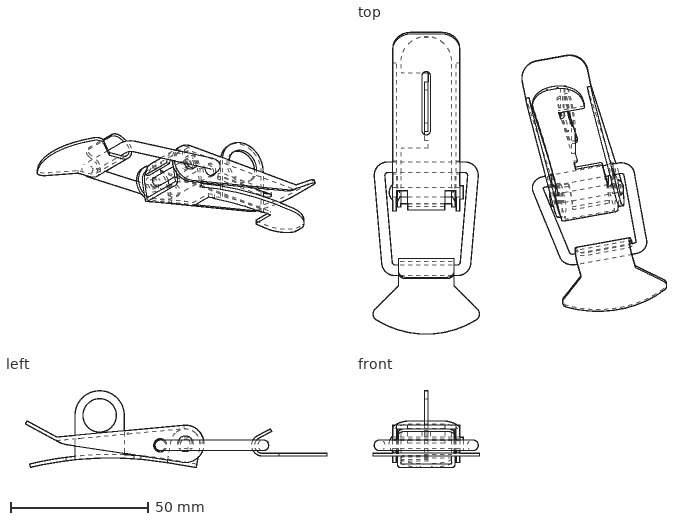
import cadquery as cq
import math


lever_sheet = 1.3
catch_sheet = 1.1
base_sheet = 1.3

pin_diameter = 3.5
flat_head_diameter = 5.0
dome_base_diameter = 5.7
head_height = 1.3

lever_width = 24.4
lever_nose_radius = 6.8
lever_top_slope = 5.3
lever_bottom_slope = 8.6
thumb_bend_y = 46.9
thumb_slope = 28.5
thumb_length = 12.3
thumb_bend_radius = 1.2
thumb_corner_radius = 6.6
wall_heel_radius = 8.8
tongue_width = 13.6
tongue_radius = 6.5
slot_width = 3.0
slot_front_y = 20.9
slot_rear_y = 44.0

wire_diameter = 4.0
wire_bend_radius = 3.0
wire_z = -0.5
wire_rear_y = 9.1
wire_front_y = -28.4
wire_rear_half_width = 17.3
wire_front_half_width = 14.1
wire_hole_diameter = 4.7

hook_y = -28.1
hook_radius = 4.0
lip_slope = 28.0
lip_length = 5.4
lip_corner_radius = 2.6
catch_neck_width = 20.3
catch_neck_end_y = -34.0
fan_tip_y = -51.7
fan_radius = 34.5
fan_side_angle = 45.0
fan_corner_radius = 2.5

base_width = 21.1
floor_slope = 9.6
floor_depth = 7.9
ear_radius = 5.4
bow_radius = 124.4
tail_y = 56.8
eye_y = 31.3
eye_z = 10.3
eye_radius = 9.0
eye_hole_diameter = 12.1
root_bend_radius = 1.2
notch_corner_radius = 0.8
notch_front_y = 16.2
notch_rear_y = 43.5
eye_root_front_y = 18.8


def polar(radius, degrees):
    """Point at an angle measured from +Y towards +Z."""
    angle = math.radians(degrees)
    return (radius * math.cos(angle), radius * math.sin(angle))


def moved(point, distance, degrees):
    """Point shifted by a distance in a direction measured from +Y towards +Z."""
    step = polar(distance, degrees)
    return (point[0] + step[0], point[1] + step[1])


def meeting_point(point_a, degrees_a, point_b, degrees_b):
    """Crossing of two lines, each given by a point and a direction."""
    ay, az = polar(1, degrees_a)
    by, bz = polar(1, degrees_b)
    dy = point_b[0] - point_a[0]
    dz = point_b[1] - point_a[1]
    distance = (dy * bz - dz * by) / (ay * bz - az * by)
    return moved(point_a, distance, degrees_a)


def side_sketch(x=0):
    """Workplane for side outlines: local axes are Y and Z, extrusion goes along +X."""
    return cq.Workplane("YZ", origin=(x, 0, 0))


def nearest(x, point):
    """Selector for the edge nearest to a side-outline point at the given X."""
    return cq.selectors.NearestToPointSelector((x, *point))


def cross_bar(diameter, y, z, length):
    """Cylinder along X, centred on X = 0."""
    return side_sketch().center(y, z).circle(diameter / 2).extrude(length / 2, both=True)


def make_pin():
    wall_x = lever_width / 2
    pin = cross_bar(pin_diameter, 0, 0, lever_width)
    flat_head = side_sketch(wall_x).circle(flat_head_diameter / 2).extrude(head_height)
    dome_edge = (-wall_x, dome_base_diameter / 2)
    dome_apex = (-wall_x - head_height, 0)
    sphere_radius = (dome_edge[1] ** 2 + head_height ** 2) / (2 * head_height)
    dome = (
        cq.Workplane("XY")
        .moveTo(-wall_x, 0)
        .lineTo(*dome_edge)
        .radiusArc(dome_apex, -sphere_radius)
        .close()
        .revolve(360, (0, 0, 0), (1, 0, 0))
    )
    return pin.union(flat_head).union(dome)


def make_lever():
    top_direction = 180 - lever_top_slope
    nose_top = polar(lever_nose_radius, 90 - lever_top_slope)
    nose_bottom = polar(lever_nose_radius, lever_bottom_slope - 90)
    nose_front = (-lever_nose_radius, 0)
    bend_top = meeting_point(nose_top, top_direction, (thumb_bend_y, 0), 90)
    tip_top = moved(bend_top, thumb_length, thumb_slope)
    tip_bottom = moved(tip_top, lever_sheet, thumb_slope - 90)
    nose_top_inside = polar(lever_nose_radius - lever_sheet, 90 - lever_top_slope)
    bend_bottom = meeting_point(nose_top_inside, top_direction, tip_bottom, thumb_slope)
    heel = meeting_point(nose_bottom, lever_bottom_slope, tip_bottom, thumb_slope)

    plate = (
        side_sketch()
        .polyline([nose_top, bend_top, tip_top, tip_bottom, bend_bottom, nose_top_inside])
        .close()
        .extrude(lever_width / 2, both=True)
    )
    plate = plate.edges(nearest(0, bend_top)).fillet(thumb_bend_radius)
    plate = plate.edges(nearest(0, bend_bottom)).fillet(thumb_bend_radius + lever_sheet)
    tip_middle = moved(tip_top, lever_sheet / 2, thumb_slope - 90)
    for side in (-1, 1):
        plate = plate.edges(nearest(side * lever_width / 2, tip_middle)).fillet(thumb_corner_radius)

    tongue_centre = moved(nose_top, -tongue_radius, 90 - lever_top_slope)
    tongue_inner_radius = tongue_radius - lever_sheet
    tongue = (
        side_sketch()
        .moveTo(*nose_top)
        .radiusArc(moved(tongue_centre, tongue_radius, 180), -tongue_radius)
        .lineTo(*moved(tongue_centre, tongue_inner_radius, 180))
        .radiusArc(nose_top_inside, tongue_inner_radius)
        .close()
        .extrude(tongue_width / 2, both=True)
    )

    left_wall = (
        side_sketch(-lever_width / 2)
        .moveTo(*nose_top)
        .threePointArc(nose_front, nose_bottom)
        .lineTo(*heel)
        .lineTo(*bend_bottom)
        .lineTo(*bend_top)
        .close()
        .extrude(lever_sheet)
        .edges(nearest(-lever_width / 2, heel))
        .fillet(wall_heel_radius)
    )
    right_wall = left_wall.mirror("YZ")

    slot_length = slot_rear_y - slot_front_y
    slot = (
        cq.Workplane("XY")
        .center(0, (slot_front_y + slot_rear_y) / 2)
        .slot2D(slot_length, slot_width, 90)
        .extrude(lever_nose_radius)
    )
    return (
        plate.union(left_wall)
        .union(right_wall)
        .union(tongue)
        .cut(slot)
        .cut(cross_bar(pin_diameter, 0, 0, lever_width))
        .cut(cross_bar(wire_hole_diameter, wire_rear_y, wire_z, lever_width))
    )


def make_wire():
    corners = [
        (-wire_rear_half_width, wire_rear_y),
        (wire_rear_half_width, wire_rear_y),
        (wire_front_half_width, wire_front_y),
        (-wire_front_half_width, wire_front_y),
    ]
    sharp_loop = cq.Wire.makePolygon([cq.Vector(x, y, wire_z) for x, y in corners], close=True)
    path = sharp_loop.fillet2D(wire_bend_radius, sharp_loop.Vertices())
    start = path.startPoint()
    along = path.tangentAt(0)
    outward = cq.Vector(0, 0, 1).cross(along)
    section = cq.Plane(origin=start, xDir=outward, normal=along)
    return cq.Workplane(section).circle(wire_diameter / 2).sweep(cq.Workplane(path))


def make_catch():
    centre = (hook_y, wire_z)
    inner_radius = hook_radius - catch_sheet
    plate_bottom = moved(centre, hook_radius, -90)
    plate_top = moved(centre, inner_radius, -90)
    lip_start_outer = moved(centre, hook_radius, 90 - lip_slope)
    lip_start_inner = moved(centre, inner_radius, 90 - lip_slope)
    lip_direction = 180 - lip_slope
    lip_end_outer = moved(lip_start_outer, lip_length, lip_direction)
    lip_end_inner = moved(lip_start_inner, lip_length, lip_direction)
    hook = (
        side_sketch()
        .moveTo(*plate_bottom)
        .threePointArc(moved(centre, hook_radius, 0), lip_start_outer)
        .lineTo(*lip_end_outer)
        .lineTo(*lip_end_inner)
        .lineTo(*lip_start_inner)
        .threePointArc(moved(centre, inner_radius, 0), plate_top)
        .close()
        .extrude(catch_neck_width / 2, both=True)
    )
    lip_end = moved(lip_end_outer, catch_sheet / 2, lip_direction + 90)
    for side in (-1, 1):
        hook = hook.edges(nearest(side * catch_neck_width / 2, lip_end)).fillet(lip_corner_radius)

    neck_x = catch_neck_width / 2
    fan_length = catch_neck_end_y - fan_tip_y
    fan_x = neck_x + fan_length * math.tan(math.radians(fan_side_angle))
    plate = (
        cq.Workplane("XY", origin=(0, 0, plate_bottom[1]))
        .polyline([
            (-neck_x, hook_y),
            (neck_x, hook_y),
            (neck_x, catch_neck_end_y),
            (fan_x, fan_tip_y),
            (-fan_x, fan_tip_y),
            (-neck_x, catch_neck_end_y),
        ])
        .close()
        .extrude(catch_sheet)
    )
    disc = (
        cq.Workplane("XY", origin=(0, fan_tip_y + fan_radius, plate_bottom[1]))
        .circle(fan_radius)
        .extrude(catch_sheet)
    )
    plate = plate.intersect(disc).edges("|Z and (<X or >X)").fillet(fan_corner_radius)
    return plate.union(hook)


def make_base():
    down = floor_slope - 90
    floor_middle = polar(floor_depth, down)
    flat_front = moved(floor_middle, -ear_radius, floor_slope)
    flat_rear = moved(floor_middle, ear_radius, floor_slope)
    bow_centre = moved(flat_rear, bow_radius, down)
    half_width = base_width / 2

    ear_outline = (
        side_sketch()
        .moveTo(*flat_front)
        .lineTo(*flat_rear)
        .lineTo(*polar(ear_radius, floor_slope))
        .threePointArc(polar(ear_radius, floor_slope + 90), polar(-ear_radius, floor_slope))
        .close()
        .extrude(half_width, both=True)
    )
    channel_height = floor_depth + ear_radius
    flat_direction = polar(1, floor_slope)
    section = cq.Workplane(cq.Plane(
        origin=(0, *flat_front),
        xDir=(-1, 0, 0),
        normal=(0, *flat_direction),
    ))
    outside = (
        section.center(0, channel_height / 2)
        .rect(base_width, channel_height)
        .extrude(2 * ear_radius)
        .edges(cq.selectors.ParallelDirSelector(cq.Vector(0, *flat_direction)))
        .fillet(base_sheet)
    )
    inside = (
        section.center(0, base_sheet + channel_height / 2)
        .rect(base_width - 2 * base_sheet, channel_height)
        .extrude(2 * ear_radius)
    )
    pivot_hole = cross_bar(pin_diameter, 0, 0, base_width)
    channel = outside.cut(inside).intersect(ear_outline).cut(pivot_hole)

    top_radius = bow_radius + base_sheet
    front_angle = 90 + floor_slope
    tail_angle = math.degrees(math.acos((tail_y - bow_centre[0]) / top_radius))
    bow_half_width = half_width - base_sheet
    bow = (
        side_sketch()
        .moveTo(*moved(bow_centre, bow_radius, front_angle))
        .threePointArc(moved(bow_centre, bow_radius, 90), moved(bow_centre, bow_radius, tail_angle))
        .lineTo(*moved(bow_centre, top_radius, tail_angle))
        .threePointArc(moved(bow_centre, top_radius, 90), moved(bow_centre, top_radius, front_angle))
        .close()
        .extrude(bow_half_width, both=True)
    )
    round_tail = (
        cq.Workplane("XY")
        .slot2D(2 * tail_y, 2 * bow_half_width, 90)
        .extrude(2 * floor_depth, both=True)
    )

    notch_corners = [
        (base_sheet / 2, notch_front_y),
        (base_sheet / 2, notch_rear_y),
        (-half_width, notch_rear_y),
        (-half_width, notch_front_y),
    ]
    notch = cq.Workplane("XY").polyline(notch_corners).close().extrude(2 * floor_depth, both=True)
    whole_bow = bow.intersect(round_tail)
    bow = whole_bow.cut(notch)
    bow_bottom_z = bow_centre[1] + bow_radius
    for notch_end_y in (notch_front_y, notch_rear_y):
        corner = nearest(-bow_half_width, (notch_end_y, bow_bottom_z))
        bow = bow.edges("|Z").edges(corner).fillet(notch_corner_radius)

    eye_rear_y = eye_y + eye_radius
    root_block = (
        cq.Workplane("XY")
        .center(0, (eye_root_front_y + eye_rear_y) / 2)
        .rect(base_sheet, eye_rear_y - eye_root_front_y)
        .extrude(2 * floor_depth, both=True)
    )
    root = whole_bow.intersect(root_block)
    root = root.edges(nearest(-base_sheet / 2, (eye_y, bow_bottom_z))).fillet(root_bend_radius)
    below_eye = side_sketch().center(*bow_centre).circle(top_radius).extrude(base_sheet, both=True)
    eye = (
        side_sketch(-base_sheet / 2)
        .moveTo(eye_y - eye_radius, bow_centre[1])
        .lineTo(eye_y - eye_radius, eye_z)
        .threePointArc((eye_y, eye_z + eye_radius), (eye_rear_y, eye_z))
        .lineTo(eye_rear_y, bow_centre[1])
        .close()
        .extrude(base_sheet)
        .cut(below_eye)
        .cut(cross_bar(eye_hole_diameter, eye_y, eye_z, base_sheet))
    )
    return channel.union(bow).union(root).union(eye)


lever = make_lever()
wire = make_wire()
catch = make_catch()
pin = make_pin()
base = make_base()
result = cq.Compound.makeCompound([lever.val(), wire.val(), catch.val(), pin.val(), base.val()])